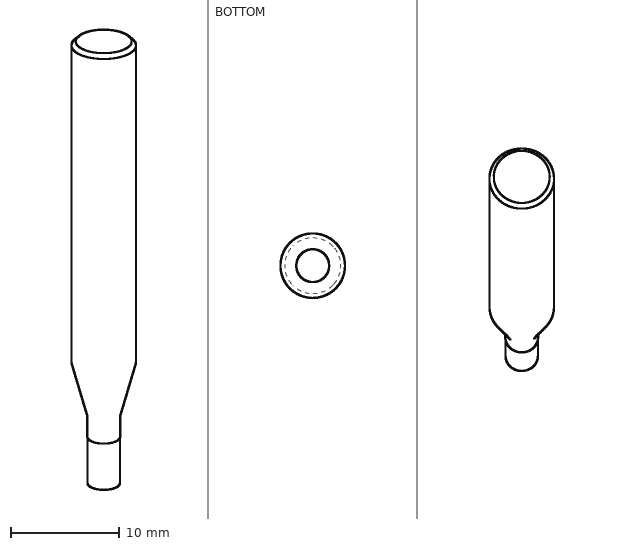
import cadquery as cq

total_length = 45.0
shank_diameter = 6.0
shank_chamfer = 0.4

neck_diameter = 3.05
cutter_diameter = 3.0
cutter_length = 4.72
neck_length = 2.15
taper_length = 5.45

neck_top = cutter_length + neck_length
taper_top = neck_top + taper_length


def make_cutter():
    """Plain cylindrical cutting end."""
    return cq.Workplane("XY").circle(cutter_diameter / 2).extrude(cutter_length)


def make_holder():
    """Neck, taper and chamfered shank, revolved as one profile about Z."""
    neck_radius = neck_diameter / 2
    shank_radius = shank_diameter / 2
    return (
        cq.Workplane("XZ")
        .moveTo(0, cutter_length)
        .lineTo(neck_radius, cutter_length)
        .lineTo(neck_radius, neck_top)
        .lineTo(shank_radius, taper_top)
        .lineTo(shank_radius, total_length - shank_chamfer)
        .lineTo(shank_radius - shank_chamfer, total_length)
        .lineTo(0, total_length)
        .close()
        .revolve(360, (0, 0, 0), (0, 1, 0))
    )


cutter = make_cutter()
holder = make_holder()

result = cq.Compound.makeCompound([holder.val(), cutter.val()])